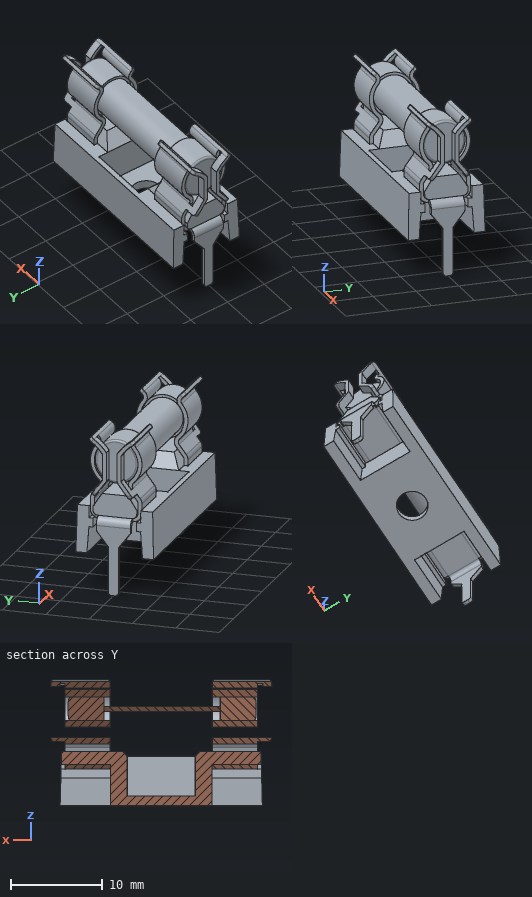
import cadquery as cq
import math


base_length = 22.24
base_width = 9.0
base_height = 5.45
base_draft = 1.5
pocket_size = 7.42
pocket_floor_z = 1.12
floor_hole_radius = 1.72

ledge_z = 4.07
channel_step_z = 3.05
channel_bottom_half_width = 3.2

fuse_z = 10.65
fuse_shift = -0.1
fuse_length = 20.65
cap_radius = 2.52
cap_length = 3.98
cap_rim_fillet = 0.25
tube_radius = 2.2

sheet = 0.45
half_sheet = sheet / 2
bend_radius = 0.45
floor_bend_radius = 0.53
corner_radius = 0.41

clip_near_x = 5.58
clip_far_x = 10.57
finger_near_x = 11.13
finger_far_x = 12.12
clip_floor_z = 4.45
wall_bend_z = 6.15
slope_angle = 37
grip_high_angle = 40
lip_heading = 40
lip_length = 0.45
band_length = 0.78
finger_y = 0.85
finger_high_z = 12.05
finger_bulge = 0.1
terminal_half_width = 1.96
terminal_shoulder_z = 2.89
pin_half_width = 0.58
pin_top_z = 1.1
pin_bottom_z = -4.49
pin_tip_radius = 0.36

block_top_z = 7.0
block_top_half_width = 1.5
block_top_near_x = 5.25

grip_radius = cap_radius + half_sheet
wall_y = grip_radius
wall_inner_y = wall_y - half_sheet
wall_outer_y = wall_y + half_sheet
mid_bend = bend_radius + half_sheet
mid_floor_bend = floor_bend_radius + half_sheet
finger_skew = half_sheet / 2
floor_mid_z = clip_floor_z - half_sheet


def mirrored_pair(solid):
    """The solid at the -X end and its mirror image at the +X end."""
    return [solid, solid.mirror("YZ")]


def extruded(outline, far_x, near_x):
    """A YZ outline extruded between two distances on the -X side of the middle."""
    return outline.extrude(far_x - near_x).translate((-far_x, 0, 0))


def symmetric_outline(right_points):
    """A YZ outline from its +Y points, listed upward, and their reflections."""
    left_points = [(-y, z) for y, z in reversed(right_points)]
    return cq.Workplane("YZ").polyline(right_points + left_points).close()




def beside(spot, distance):
    """The point a distance to the left of a spot."""
    across, up, heading = spot
    turn = math.radians(heading)
    return (across - distance * math.sin(turn), up + distance * math.cos(turn))


def ahead(spot, length):
    """The spot reached by going straight."""
    across, up, heading = spot
    turn = math.radians(heading)
    return (across + length * math.cos(turn), up + length * math.sin(turn), heading)


def around(spot, radius, turn):
    """The spot reached along an arc; a positive turn goes left."""
    reach = math.copysign(radius, turn)
    centre = beside(spot, reach)
    heading = spot[2] + turn
    return (*beside((*centre, heading), -reach), heading)


def straight(spot, length, plane="YZ"):
    """The outline of a flat stretch, and the spot at its end."""
    end = ahead(spot, length)
    corners = [
        beside(spot, half_sheet),
        beside(end, half_sheet),
        beside(end, -half_sheet),
        beside(spot, -half_sheet),
    ]
    return cq.Workplane(plane).polyline(corners).close(), end


def bend(spot, radius, turn, plane="YZ"):
    """The outline of a bent stretch, and the spot at its end."""
    middle = around(spot, radius, turn / 2)
    end = around(spot, radius, turn)
    outline = (
        cq.Workplane(plane)
        .moveTo(*beside(spot, half_sheet))
        .threePointArc(beside(middle, half_sheet), beside(end, half_sheet))
        .lineTo(*beside(end, -half_sheet))
        .threePointArc(beside(middle, -half_sheet), beside(spot, -half_sheet))
        .close()
    )
    return outline, end


def slope_up_to_grip(slope_start):
    """The slope length, and the angle below the fuse axis where the waist bend meets the grip.

    The centre of the waist bend lies beside the slope, one bend radius outside the grip circle.
    """
    first_centre = beside(slope_start, -mid_bend)
    turn = math.radians(slope_start[2])
    to_axis = (-first_centre[0], fuse_z - first_centre[1])
    along = to_axis[0] * math.cos(turn) + to_axis[1] * math.sin(turn)
    aside = to_axis[1] * math.cos(turn) - to_axis[0] * math.sin(turn)
    length = along - math.sqrt((grip_radius + mid_bend) ** 2 - aside**2)
    centre_y, centre_z, _ = ahead((*first_centre, slope_start[2]), length)
    return length, math.degrees(math.atan2(fuse_z - centre_z, centre_y))


def finger_outline(slope_end, lip_start):
    """The finger beside the fuse end, from the slope up to the lip."""
    edges = []
    for side in (half_sheet, -half_sheet):
        start = beside(slope_end, side)
        upright = finger_y - side
        kink_z = start[1] + (start[0] - upright) / math.tan(math.radians(slope_angle))
        edges.append((start, (upright, kink_z)))
    (inner_start, inner_kink), (outer_start, outer_kink) = edges
    return (
        cq.Workplane("YZ")
        .moveTo(*outer_start)
        .lineTo(*outer_kink)
        .lineTo(outer_kink[0], finger_high_z - finger_skew)
        .sagittaArc(beside(lip_start, -half_sheet), finger_bulge)
        .lineTo(*beside(lip_start, half_sheet))
        .sagittaArc((inner_kink[0], finger_high_z + finger_skew), -finger_bulge)
        .lineTo(*inner_kink)
        .lineTo(*inner_start)
        .close()
    )


def rounded_corner(plate, x, spot):
    """Round the corner edge of a plate that passes through a spot on its middle line."""
    corner = cq.selectors.NearestToPointSelector((x, spot[0], spot[1]))
    return plate.edges(corner).fillet(corner_radius)


def clip_side():
    """The +Y half of a clip, from the middle of its floor up to its lip."""
    floor, spot = straight((0, floor_mid_z, 0), wall_y - mid_floor_bend)
    floor_bend, spot = bend(spot, mid_floor_bend, 90)
    wall, spot = straight(spot, wall_bend_z - spot[1])
    knee, slope_start = bend(spot, mid_bend, slope_angle)
    slope_length, grip_low_angle = slope_up_to_grip(slope_start)
    slope, band_start = straight(slope_start, slope_length - band_length)
    band, slope_end = straight(band_start, band_length)
    waist, spot = bend(slope_end, mid_bend, 90 - grip_low_angle - slope_end[2])
    grip, spot = bend(spot, grip_radius, grip_low_angle + grip_high_angle)
    neck, lip_start = bend(spot, mid_bend, lip_heading - spot[2])
    lip, lip_end = straight(lip_start, lip_length)

    band_plate = extruded(band, finger_far_x, clip_near_x)
    band_plate = rounded_corner(band_plate, -finger_far_x, band_start)
    lip_plate = extruded(lip, finger_far_x, clip_near_x)
    for x in (-finger_far_x, -clip_near_x):
        lip_plate = rounded_corner(lip_plate, x, lip_end)
    finger = extruded(finger_outline(slope_end, lip_start), finger_far_x, finger_near_x)

    side = extruded(floor, clip_far_x, clip_near_x)
    for outline in (floor_bend, wall, knee, slope):
        side = side.union(extruded(outline, clip_far_x, clip_near_x))
    side = side.union(band_plate)
    for outline in (waist, grip, neck):
        side = side.union(extruded(outline, clip_far_x, clip_near_x))
    return side.union(lip_plate).union(finger)


def clip_terminal():
    """The tongue that leaves the clip floor, bends down and narrows to a pin."""
    floor_end = (-clip_far_x, floor_mid_z, 180)
    tongue_bend, bend_end = bend(floor_end, mid_floor_bend, 90, "XZ")
    tongue = tongue_bend.extrude(terminal_half_width, both=True)
    blade_outline = symmetric_outline(
        [
            (pin_half_width, pin_bottom_z),
            (pin_half_width, pin_top_z),
            (terminal_half_width, terminal_shoulder_z),
            (terminal_half_width, bend_end[1]),
        ]
    )
    blade_x = -bend_end[0]
    blade = extruded(blade_outline, blade_x + half_sheet, blade_x - half_sheet)
    blade = blade.faces("<Z").edges("|X").fillet(pin_tip_radius)
    return tongue.union(blade)


def build_clip():
    """One clip: two matching sides joined at the floor, with the terminal at its outer end."""
    side = clip_side()
    return side.union(side.mirror("XZ")).union(clip_terminal()).val()


def end_channel():
    """The space in the base that takes the clip and opens downward beneath it."""
    outline = symmetric_outline(
        [
            (channel_bottom_half_width, 0),
            (wall_outer_y, channel_step_z),
            (wall_inner_y, channel_step_z),
            (wall_inner_y, ledge_z),
            (wall_outer_y, ledge_z),
            (wall_outer_y, base_height),
        ]
    )
    return extruded(outline, base_length / 2, clip_near_x)


def base_end_x(z):
    """Distance of the drafted end face from the middle at a height."""
    return base_length / 2 - z * math.tan(math.radians(base_draft))


def clip_block():
    """The block between the clip walls, sloped at both sides and toward the pocket."""
    profile = (
        cq.Workplane("YZ")
        .moveTo(-wall_inner_y, base_height)
        .lineTo(-block_top_half_width, block_top_z)
        .lineTo(block_top_half_width, block_top_z)
        .lineTo(wall_inner_y, base_height)
        .lineTo(wall_inner_y, clip_floor_z + floor_bend_radius)
        .radiusArc((wall_inner_y - floor_bend_radius, clip_floor_z), floor_bend_radius)
        .lineTo(-wall_inner_y + floor_bend_radius, clip_floor_z)
        .radiusArc((-wall_inner_y, clip_floor_z + floor_bend_radius), floor_bend_radius)
        .close()
    )
    length_outline = (
        cq.Workplane("XZ")
        .moveTo(-base_end_x(clip_floor_z), clip_floor_z)
        .lineTo(-base_end_x(block_top_z), block_top_z)
        .lineTo(-block_top_near_x, block_top_z)
        .lineTo(-pocket_size / 2, base_height)
        .lineTo(-pocket_size / 2, clip_floor_z)
        .close()
        .extrude(wall_inner_y, both=True)
    )
    return extruded(profile, base_length / 2, pocket_size / 2).intersect(length_outline)


def build_base():
    """The drafted base with a clip channel and a block at each end and a pocket in the middle."""
    body = cq.Workplane("XY").rect(base_length, base_width).extrude(base_height, taper=base_draft)
    channel = end_channel()
    block = clip_block()
    body = body.cut(channel).cut(channel.mirror("YZ"))
    body = body.union(block).union(block.mirror("YZ"))
    pocket_floor = cq.Workplane("XY", origin=(0, 0, pocket_floor_z))
    pocket = pocket_floor.rect(pocket_size, pocket_size).extrude(base_height - pocket_floor_z)
    floor_hole = cq.Workplane("XY").circle(floor_hole_radius).extrude(pocket_floor_z)
    return body.cut(pocket).cut(floor_hole).val()


def build_caps():
    """The two metal caps of the fuse, each with its outer rim rounded."""
    caps = []
    for direction in (-1, 1):
        cap = (
            cq.Workplane("YZ", origin=(fuse_shift + direction * fuse_length / 2, 0, fuse_z))
            .circle(cap_radius)
            .extrude(-direction * cap_length)
        )
        rim = "<X" if direction < 0 else ">X"
        caps.append(cap.faces(rim).edges().fillet(cap_rim_fillet).val())
    return caps


def build_tube():
    """The glass tube between the two caps."""
    length = fuse_length - 2 * cap_length
    return (
        cq.Workplane("YZ", origin=(fuse_shift - length / 2, 0, fuse_z))
        .circle(tube_radius)
        .extrude(length)
        .val()
    )


base = build_base()
clips = mirrored_pair(build_clip())
caps = build_caps()
tube = build_tube()

result = cq.Compound.makeCompound([base, *clips, *caps, tube])